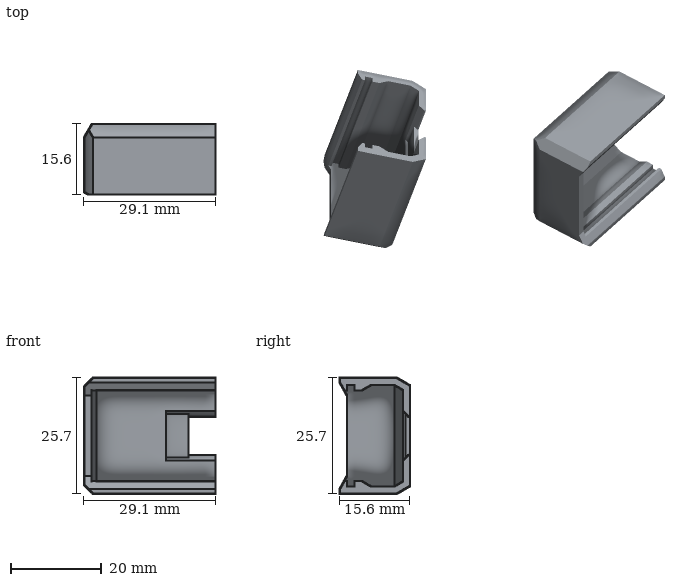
import cadquery as cq
import math

length = 29.1
depth = 15.6
height = 25.7
half_height = height / 2
bevel_slope = math.tan(math.radians(60))
back_bevel_run = 3.0
corner_bevel = 2.0

wall = 1.6
side_wall = 1.65
end_wall_front = 1.6
rim_land = 1.05
opening_edge = 3.95
inner_bevel = 1.1

lip_thickness = 2.8
lip_back = 1.65
ridge_front = 3.3
ridge_back = 4.95

slot_start = 18.1
slot_through_start = 23.1
slot_inner_half = 5.45
slot_outer_half = 4.2
slot_step_depth = 0.6

back_inner = depth - wall


def mirrored_prism(lower_points, start, end):
    """Prism along X whose (y, z) outline is mirrored about mid height."""
    upper_points = [(y, -z) for y, z in reversed(lower_points)]
    outline = cq.Workplane("YZ", origin=(start, 0, 0)).polyline(lower_points + upper_points).close()
    return outline.extrude(end - start)


def outer_block():
    block = cq.Workplane("XY").box(length, depth, height, centered=(False, False, True))
    block = block.edges("|Y and <X").chamfer(corner_bevel)
    return block.cut(end_bevel()).intersect(top_bottom_bevels())


def end_bevel():
    """Wedge removed from the back edge of the closed end."""
    run = back_bevel_run / bevel_slope
    points = [(0, depth - back_bevel_run), (run, depth), (0, depth)]
    return cq.Workplane("XY").polyline(points).close().extrude(half_height, both=True)


def top_bottom_bevels():
    """Envelope with bevelled back edges along the top and bottom."""
    points = [
        (0, -half_height),
        (depth - back_bevel_run, -half_height),
        (depth, -half_height + back_bevel_run / bevel_slope),
    ]
    return mirrored_prism(points, 0, length)


def front_opening():
    """Flared opening between the rims, cut through the closed end."""
    land_z = -half_height + rim_land
    points = [(0, land_z), (end_wall_front, -half_height + opening_edge)]
    return mirrored_prism(points, 0, length)


def cavity():
    floor_z = -half_height + side_wall
    lip_z = -half_height + lip_thickness
    ridge_slope_run = (lip_thickness - side_wall) * bevel_slope
    inner_bevel_run = inner_bevel * bevel_slope
    points = [
        (0, lip_z),
        (lip_back, lip_z),
        (lip_back, floor_z),
        (ridge_front, floor_z),
        (ridge_front, lip_z),
        (ridge_back, lip_z),
        (ridge_back + ridge_slope_run, floor_z),
        (back_inner - inner_bevel_run, floor_z),
        (back_inner, floor_z + inner_bevel),
    ]
    end_corner = [
        (wall, back_inner - inner_bevel_run),
        (wall + inner_bevel, back_inner),
        (wall, back_inner),
    ]
    corner_fill = cq.Workplane("XY").polyline(end_corner).close().extrude(half_height, both=True)
    return mirrored_prism(points, wall, length).cut(corner_fill)


def latch_slot():
    """Slot with 45 degree sides, stepped at its closed end and through at its open end."""
    narrowing = slot_inner_half - slot_outer_half
    step = mirrored_prism(
        [
            (back_inner, -slot_inner_half),
            (back_inner + slot_step_depth, -slot_inner_half + slot_step_depth),
        ],
        slot_start,
        length,
    )
    through = mirrored_prism(
        [
            (back_inner, -slot_inner_half),
            (back_inner + narrowing, -slot_outer_half),
            (depth, -slot_outer_half),
        ],
        slot_through_start,
        length,
    )
    return step.union(through)


result = outer_block().cut(front_opening()).cut(cavity()).cut(latch_slot())